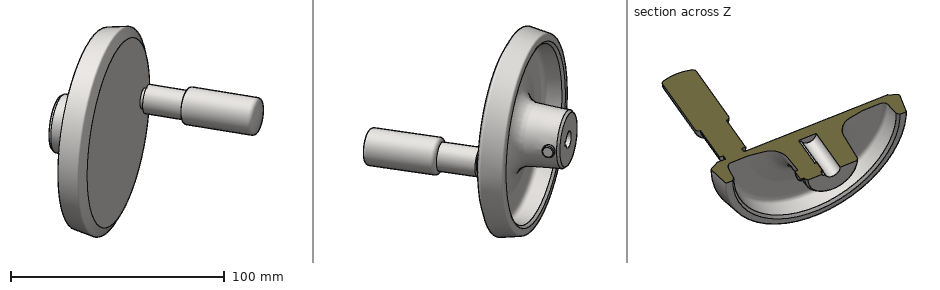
import cadquery as cq
import math

RIM_FACE = 16.2
WHEEL_BACK = 30.0
STEM_START = 32.0
GRIP_START = 51.0
TOTAL_LENGTH = 88.0

RIM_CORNER_RADIUS = 50.15
WIDEST_STATION = 27.4
RIM_FACE_RADIUS = 48.0
WHEEL_BACK_RADIUS = 45.2
RIM_EDGE_FILLET = 1.0
WIDEST_EDGE_FILLET = 1.0

RIM_INNER_RADIUS = 43.1
RIM_INNER_CHAMFER = 1.3
RECESS_FLOOR = 26.5
RECESS_FLOOR_RADIUS = 42.0
RECESS_CORNER_FILLET = 2.5
CONE_OUTER_RADIUS = 30.0
CONE_RISE_ANGLE = 10.0
CONE_EDGE_FILLET = 8.0
HUB_ROOT_FILLET = 9.0

HUB_RADIUS = 14.0
HUB_CHAMFER_LENGTH = 1.3
HUB_CHAMFER_DEPTH = 1.0
HUB_DRAFT_ANGLE = 3.5
BORE_DIAMETER = 8.0
BORE_DEPTH = 24.0
KEYWAY_WIDTH = 2.0
KEYWAY_REACH = 5.1

SCREW_DIAMETER = 6.0
SCREW_STATION = 5.0
SCREW_TOP = 16.0
SCREW_CHAMFER = 0.5

HANDLE_OFFSET = 36.0
COLLAR_DIAMETER = 10.0
STEM_DIAMETER = 14.0
GRIP_DIAMETER = 18.0
GRIP_FILLET = 2.0
GRIP_DOME_HEIGHT = 1.6

TOLERANCE = 0.01


def cylinder(start, end, diameter):
    """Cylinder about the X axis between two axial stations."""
    return cq.Workplane("YZ").workplane(offset=start).circle(diameter / 2).extrude(end - start)


def corner_edge(body, station, radius):
    """Circular edge about the X axis at a given station and radius."""
    low = (station - TOLERANCE, -radius - TOLERANCE, -radius - TOLERANCE)
    high = (station + TOLERANCE, radius + TOLERANCE, radius + TOLERANCE)
    inside = cq.selectors.BoxSelector(low, high, boundingbox=True)
    return body.edges(inside).edges(cq.selectors.RadiusNthSelector(-1))


def make_wheel():
    """Dished wheel and hub, revolved about X from a half section."""
    draft = math.tan(math.radians(HUB_DRAFT_ANGLE))
    rise = math.tan(math.radians(CONE_RISE_ANGLE))
    cone_axis_station = RECESS_FLOOR - CONE_OUTER_RADIUS * rise
    root_radius = (HUB_RADIUS + (cone_axis_station - HUB_CHAMFER_LENGTH) * draft) / (1 - rise * draft)
    root_station = cone_axis_station + root_radius * rise
    section = [
        (0, 0),
        (0, HUB_RADIUS - HUB_CHAMFER_DEPTH),
        (HUB_CHAMFER_LENGTH, HUB_RADIUS),
        (root_station, root_radius),
        (RECESS_FLOOR, CONE_OUTER_RADIUS),
        (RECESS_FLOOR, RECESS_FLOOR_RADIUS),
        (RIM_FACE + RIM_INNER_CHAMFER, RIM_INNER_RADIUS),
        (RIM_FACE, RIM_INNER_RADIUS + RIM_INNER_CHAMFER),
        (RIM_FACE, RIM_FACE_RADIUS),
        (WIDEST_STATION, RIM_CORNER_RADIUS),
        (WHEEL_BACK, WHEEL_BACK_RADIUS),
        (WHEEL_BACK, 0),
    ]
    wheel = cq.Workplane("XY").polyline(section).close().revolve(360, (0, 0, 0), (1, 0, 0))
    rounded_corners = [
        (root_station, root_radius, HUB_ROOT_FILLET),
        (RECESS_FLOOR, CONE_OUTER_RADIUS, CONE_EDGE_FILLET),
        (RECESS_FLOOR, RECESS_FLOOR_RADIUS, RECESS_CORNER_FILLET),
        (RIM_FACE, RIM_FACE_RADIUS, RIM_EDGE_FILLET),
        (WIDEST_STATION, RIM_CORNER_RADIUS, WIDEST_EDGE_FILLET),
    ]
    for station, radius, fillet in rounded_corners:
        wheel = corner_edge(wheel, station, radius).fillet(fillet)
    return wheel


def make_keyway():
    """Keyway along the bore on the +Y side."""
    return (
        cq.Workplane("YZ")
        .center(KEYWAY_REACH / 2, 0)
        .rect(KEYWAY_REACH, KEYWAY_WIDTH)
        .extrude(BORE_DEPTH)
    )


def make_set_screw():
    """Radial screw crossing the keyway and standing out of the hub on the +Y side."""
    return (
        cq.Workplane("XZ", origin=(SCREW_STATION, 0, 0))
        .circle(SCREW_DIAMETER / 2)
        .extrude(-SCREW_TOP)
        .faces(">Y")
        .chamfer(SCREW_CHAMFER)
    )


def make_grip():
    """Grip with rounded ends and a shallow domed tip, revolved about X."""
    radius = GRIP_DIAMETER / 2
    shoulder = TOTAL_LENGTH - GRIP_DOME_HEIGHT
    dome_radius = (radius**2 + GRIP_DOME_HEIGHT**2) / (2 * GRIP_DOME_HEIGHT)
    mid_radius = radius / 2
    mid_station = TOTAL_LENGTH - dome_radius + math.sqrt(dome_radius**2 - mid_radius**2)
    return (
        cq.Workplane("XY")
        .moveTo(GRIP_START, 0)
        .lineTo(GRIP_START, radius)
        .lineTo(shoulder, radius)
        .threePointArc((mid_station, mid_radius), (TOTAL_LENGTH, 0))
        .close()
        .revolve(360, (0, 0, 0), (1, 0, 0))
        .edges("%CIRCLE")
        .fillet(GRIP_FILLET)
    )


def make_handle():
    """Collar, stem and grip on the crank axis."""
    collar = cylinder(WHEEL_BACK, STEM_START, COLLAR_DIAMETER)
    stem = cylinder(STEM_START, GRIP_START, STEM_DIAMETER)
    return collar.union(stem).union(make_grip()).translate((0, HANDLE_OFFSET, 0))


wheel = make_wheel().cut(make_keyway()).union(make_set_screw())
bored_wheel = wheel.cut(cylinder(0, BORE_DEPTH, BORE_DIAMETER))
result = bored_wheel.union(make_handle())